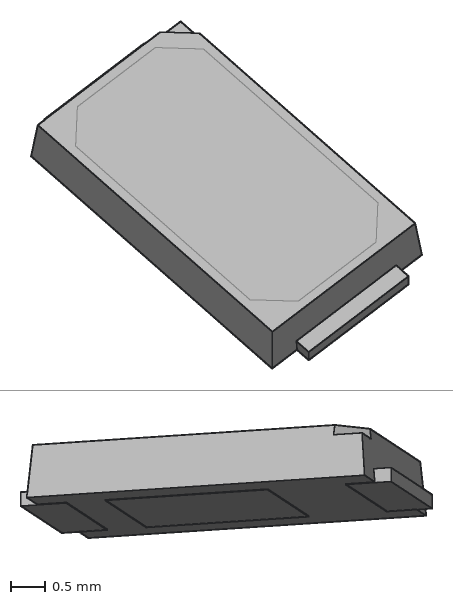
import cadquery as cq
import math

OVERALL_LENGTH = 5.7
BODY_LENGTH = 5.2
BODY_WIDTH = 3.0
BODY_HEIGHT = 0.8
DRAFT_ANGLE = 5.0

STANDOFF = 0.01
CONTACT_TOP = 0.2
CONTACT_WIDTH = 2.0
LEAD_LENGTH = 0.7
THERMAL_PAD_LENGTH = 2.5
THERMAL_PAD_CENTER_X = 0.3

LENS_LENGTH = 4.76
LENS_WIDTH = 2.56
LENS_CORNER = 0.5
LENS_DEPTH = 0.5

NOTCH_LEG = 0.41
NOTCH_DEPTH = 0.15

draft_inset = BODY_HEIGHT * math.tan(math.radians(DRAFT_ANGLE))
top_half_length = BODY_LENGTH / 2 - draft_inset
top_half_width = BODY_WIDTH / 2 - draft_inset


def make_body():
    """Rectangular housing with four drafted side walls."""
    return cq.Workplane("XY").rect(BODY_LENGTH, BODY_WIDTH).extrude(BODY_HEIGHT, taper=DRAFT_ANGLE)


def make_notch():
    """Triangular prism that cuts the -X, +Y corner of the top face."""
    leg = NOTCH_LEG + 2 * draft_inset
    corner_x = -top_half_length - draft_inset
    corner_y = top_half_width + draft_inset
    return (
        cq.Workplane("XY", origin=(corner_x, corner_y, BODY_HEIGHT - NOTCH_DEPTH))
        .polyline([(0, 0), (leg, 0), (0, -leg)])
        .close()
        .extrude(NOTCH_DEPTH)
    )


def make_lens():
    """Eight-sided lens block whose top is level with the housing."""
    return (
        cq.Workplane("XY", origin=(0, 0, BODY_HEIGHT - LENS_DEPTH))
        .rect(LENS_LENGTH, LENS_WIDTH)
        .extrude(LENS_DEPTH)
        .edges("|Z")
        .chamfer(LENS_CORNER)
    )


def make_contact(center_x, length, top):
    """Flat metal contact from the standoff plane up to the given height."""
    return (
        cq.Workplane("XY", origin=(center_x, 0, -STANDOFF))
        .rect(length, CONTACT_WIDTH)
        .extrude(STANDOFF + top)
    )


result = make_body().cut(make_notch())

lead_center_x = (OVERALL_LENGTH - LEAD_LENGTH) / 2
for side in (-1, 1):
    result = result.union(make_contact(side * lead_center_x, LEAD_LENGTH, CONTACT_TOP))
result = result.union(make_contact(THERMAL_PAD_CENTER_X, THERMAL_PAD_LENGTH, CONTACT_TOP))

lens = make_lens()
result = result.cut(lens).union(lens, clean=False)